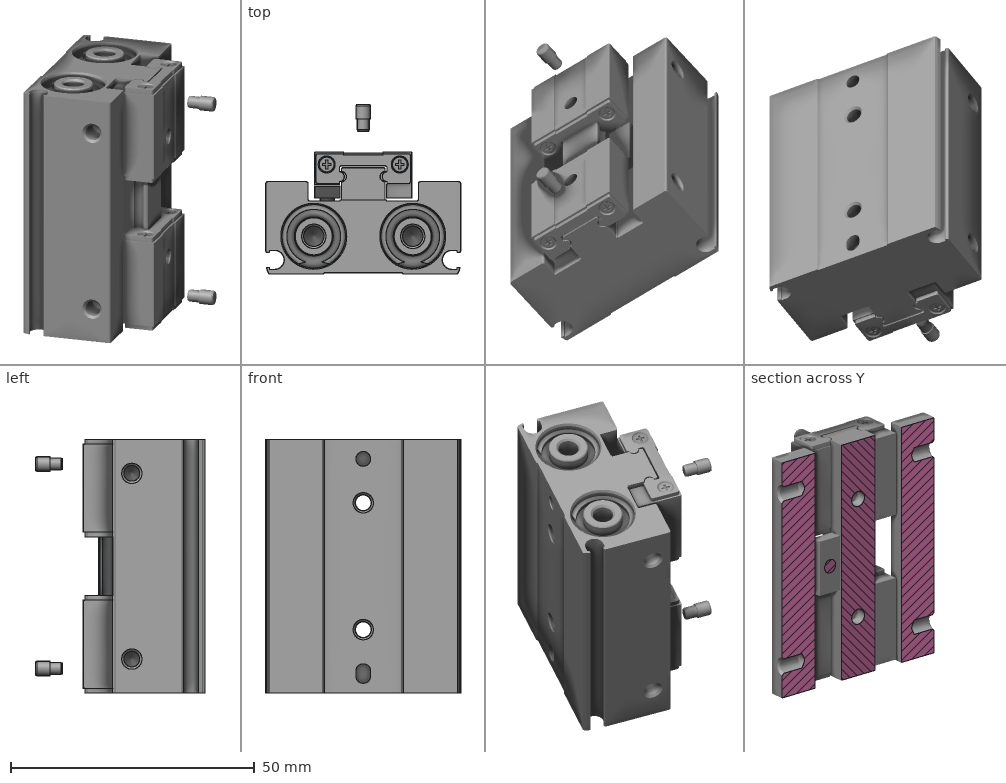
import cadquery as cq
import math

LENGTH = 52.0
HALF_LENGTH = LENGTH / 2

HALF_WIDTH = 19.995
HOUSING_TOP_Y = 19.0
GUIDE_GROOVE_HALF_WIDTH = 11.3
GUIDE_GROOVE_FLOOR_Y = 15.05
SEAT_HALF_WIDTH = 4.8
SEAT_Y = 15.25
SHOULDER_RADIUS = 0.45
GROOVE_CORNER_RADIUS = 0.25
FRONT_RECESS_HALF_WIDTH = 8.2
FRONT_RECESS_DEPTH = 0.25

SLOT_Y = 2.9
SLOT_RADIUS = 1.9
SLOT_CENTER_X = 18.15
SLOT_LIP_X = 19.2
SLOT_MOUTH = 3.0
FRONT_LIP_HALF_WIDTH = 19.85
FRONT_FACE_HALF_WIDTH = 19.35
FRONT_EDGE_X = 19.6
FRONT_EDGE_Y = 0.5
SLOT_EDGE_RADIUS = 0.35

ROD_X = 10.15
ROD_Y = 7.75
RECESS_DIAMETER = 13.0
RECESS_DEPTH = 2.5
RECESS_CHAMFER_WIDTH = 0.25
RECESS_CHAMFER_DEPTH = 0.5
RING_TOP_DEPTH = 1.5
RING_INNER_DIAMETER = 11.0
RING_GAP_INNER_HALF_WIDTH = 1.6
RING_GAP_INNER_DROP = 5.25
RING_GAP_OUTER_HALF_WIDTH = 3.3
RING_GAP_OUTER_DROP = 5.65
ROD_DIAMETER = 8.0
ROD_CHAMFER = 0.2
ROD_HOLE_DIAMETER = 4.15
ROD_HOLE_MOUTH = 5.0
ROD_HOLE_DEPTH = 7.8

DRILL_TIP_ANGLE = 118.0
MOUNT_HOLE_DIAMETER = 3.2
MOUNT_HOLE_MOUTH = 4.15
MOUNT_HOLE_Z = 13.0
SIDE_HOLE_Y = 15.05
SIDE_HOLE_Z = 19.05
SIDE_HOLE_DEPTH = 5.2
LOCATING_WIDTH = 3.0
LOCATING_SLOT_LENGTH = 4.0
LOCATING_Z = 22.0
LOCATING_DEPTH = 3.0

RAIL_HALF_WIDTH = 4.45
RAIL_TOP_Y = 21.85
RAIL_TOP_CHAMFER = 0.25
RAIL_NOTCH_HALF_WIDTH = 3.5
RAIL_NOTCH_Y = 19.95
RAIL_NOTCH_MOUTH = 2.1

GUIDE_GAP = 0.35
CARRIAGE_LENGTH = 20.0
CARRIAGE_CENTER_Z = HALF_LENGTH - CARRIAGE_LENGTH / 2
END_PLATE_THICKNESS = 1.0
BLOCK_HALF_WIDTH = 10.0
BLOCK_BOTTOM_Y = 18.35
LEG_INNER_X = 4.75
LEG_BOTTOM_Y = 15.55
BLOCK_TOP_Y = 25.05
BLOCK_EDGE_CHAMFER = 0.15
PLATE_HALF_WIDTH = 9.65
PLATE_BOTTOM_Y = 18.55
PLATE_TOP_Y = 24.65
PLATE_CORNER_RADIUS = 0.4
TOP_GROOVE_HALF_WIDTH = 4.0
TOP_GROOVE_DEPTH = 0.2
SCREW_X = 7.5
SCREW_Y = 22.45
SCREW_SINK_DIAMETER = 3.5
SCREW_HEAD_DIAMETER = 3.0
SCREW_SINK_DEPTH = 0.25
CROSS_LENGTH = 1.75
CROSS_WIDTH = 0.45
CROSS_DEPTH = 0.25

STOP_TOP_Y = 18.05
STOP_LENGTH = 11.95
STOP_FOOT_DIAMETER = 3.0

PIN_Z = 20.95
PIN_TOP_Y = 34.8
PIN_HEAD_RADIUS = 1.5
PIN_HEAD_LENGTH = 2.95
PIN_NECK_RADIUS = 1.25
PIN_LENGTH = 5.5
PIN_CHAMFER_WIDTH = 0.15
PIN_CHAMFER_LENGTH = 0.3


def mirrored_bar(half_outline, length):
    """A bar along Z, centred on Z = 0, from the right half of its symmetric section."""
    return cq.Workplane("XY").polyline(half_outline).mirrorY().extrude(length / 2, both=True)


def drill(diameter, mouth, depth):
    """A cutter along -Z from the origin: chamfered mouth, straight wall and conical tip."""
    radius = diameter / 2
    chamfer = (mouth - diameter) / 2
    tip = radius / math.tan(math.radians(DRILL_TIP_ANGLE / 2))
    section = [
        (0, 0),
        (mouth / 2, 0),
        (radius, -chamfer),
        (radius, -depth),
        (0, -depth - tip),
    ]
    return cq.Workplane("XZ").polyline(section).close().revolve(360, (0, 0), (0, 1))


def mount_holes():
    """The cross holes that run along Y through the housing, the rail and the carriages."""
    reach = BLOCK_TOP_Y + 0.5
    places = [(0, MOUNT_HOLE_Z), (0, -MOUNT_HOLE_Z)]
    return cq.Workplane("XZ").pushPoints(places).circle(MOUNT_HOLE_DIAMETER / 2).extrude(-reach)


def sensor_slots():
    """Round-bottomed slots along both sides, each with a narrower mouth."""
    center_span = HALF_WIDTH - SLOT_CENTER_X
    slots = cq.Workplane("XY")
    for side in (-1, 1):
        center = (side * SLOT_CENTER_X, SLOT_Y)
        round_end = cq.Workplane("XY").center(*center).circle(SLOT_RADIUS)
        slots = slots.add(round_end.extrude(HALF_LENGTH, both=True))
        straight = cq.Workplane("XY").center(side * (SLOT_CENTER_X + SLOT_LIP_X) / 2, SLOT_Y)
        straight = straight.rect(SLOT_LIP_X - SLOT_CENTER_X, 2 * SLOT_RADIUS)
        slots = slots.add(straight.extrude(HALF_LENGTH, both=True))
        mouth = cq.Workplane("XY").center(side * (SLOT_CENTER_X + center_span / 2), SLOT_Y)
        mouth = mouth.rect(center_span, SLOT_MOUTH)
        slots = slots.add(mouth.extrude(HALF_LENGTH, both=True))
    return slots.combine()


def housing_profile():
    """The plain extruded section of the housing, with its sensor slots."""
    wall_start_y = SLOT_Y + SLOT_MOUTH / 2
    half_outline = [
        (0, FRONT_RECESS_DEPTH),
        (FRONT_RECESS_HALF_WIDTH - FRONT_RECESS_DEPTH, FRONT_RECESS_DEPTH),
        (FRONT_RECESS_HALF_WIDTH, 0),
        (FRONT_FACE_HALF_WIDTH, 0),
        (FRONT_EDGE_X, FRONT_EDGE_Y),
        (FRONT_LIP_HALF_WIDTH, SLOT_Y - SLOT_MOUTH / 2),
        (FRONT_LIP_HALF_WIDTH, wall_start_y),
        (HALF_WIDTH, wall_start_y),
        (HALF_WIDTH, HOUSING_TOP_Y),
        (GUIDE_GROOVE_HALF_WIDTH, HOUSING_TOP_Y),
        (GUIDE_GROOVE_HALF_WIDTH, GUIDE_GROOVE_FLOOR_Y),
        (SEAT_HALF_WIDTH, GUIDE_GROOVE_FLOOR_Y),
        (SEAT_HALF_WIDTH, SEAT_Y),
        (0, SEAT_Y),
    ]
    profile = mirrored_bar(half_outline, LENGTH)
    shoulders = cq.selectors.BoxSelector(
        (-HALF_WIDTH - 0.5, HOUSING_TOP_Y - 0.5, -0.5), (HALF_WIDTH + 0.5, HOUSING_TOP_Y + 0.5, 0.5)
    )
    profile = profile.edges("|Z").edges(shoulders).fillet(SHOULDER_RADIUS)
    for side in (-1, 1):
        corner = cq.selectors.NearestToPointSelector(
            (side * GUIDE_GROOVE_HALF_WIDTH, GUIDE_GROOVE_FLOOR_Y, 0)
        )
        profile = profile.edges("|Z").edges(corner).fillet(GROOVE_CORNER_RADIUS)

    profile = profile.cut(sensor_slots())
    for side in (-1, 1):
        slot_edge = cq.selectors.NearestToPointSelector((side * HALF_WIDTH, wall_start_y, 0))
        profile = profile.edges("|Z").edges(slot_edge).fillet(SLOT_EDGE_RADIUS)
    return profile


def rod_recess():
    """Cutter for one rod recess, its axis on Z and its mouth at Z = 0."""
    radius = RECESS_DIAMETER / 2
    mouth_radius = radius + RECESS_CHAMFER_WIDTH
    section = [
        (0, 0),
        (mouth_radius, 0),
        (radius, -RECESS_CHAMFER_DEPTH),
        (radius, -RECESS_DEPTH),
        (0, -RECESS_DEPTH),
    ]
    pocket = cq.Workplane("XZ").polyline(section).close().revolve(360, (0, 0), (0, 1))
    rod = cq.Workplane("XY").circle(ROD_DIAMETER / 2).extrude(-RECESS_DEPTH)
    rod = rod.faces(">Z").chamfer(ROD_CHAMFER)
    return pocket.cut(rod).cut(retaining_ring())


def retaining_ring():
    """The open ring ledge on the recess floor, its gap toward -Y."""
    ring = cq.Workplane("XY").workplane(offset=-RECESS_DEPTH)
    ring = ring.circle(RECESS_DIAMETER / 2).circle(RING_INNER_DIAMETER / 2)
    ring = ring.extrude(RECESS_DEPTH - RING_TOP_DEPTH)
    gap_outline = [
        (-RING_GAP_INNER_HALF_WIDTH, -RING_GAP_INNER_DROP),
        (-RING_GAP_OUTER_HALF_WIDTH, -RING_GAP_OUTER_DROP),
        (-RING_GAP_OUTER_HALF_WIDTH, -RECESS_DIAMETER),
        (RING_GAP_OUTER_HALF_WIDTH, -RECESS_DIAMETER),
        (RING_GAP_OUTER_HALF_WIDTH, -RING_GAP_OUTER_DROP),
        (RING_GAP_INNER_HALF_WIDTH, -RING_GAP_INNER_DROP),
    ]
    gap = cq.Workplane("XY").polyline(gap_outline).close().extrude(-RECESS_DEPTH)
    return ring.cut(gap)


def make_housing():
    housing = housing_profile()

    rod_hole = drill(ROD_HOLE_DIAMETER, ROD_HOLE_MOUTH, ROD_HOLE_DEPTH)
    for x in (-ROD_X, ROD_X):
        place = (x, ROD_Y, HALF_LENGTH)
        housing = housing.cut(rod_recess().translate(place))
        housing = housing.cut(rod_hole.translate(place))

    side_drill = drill(MOUNT_HOLE_DIAMETER, MOUNT_HOLE_MOUTH, SIDE_HOLE_DEPTH)
    for side in (-1, 1):
        sideways = side_drill.rotate((0, 0, 0), (0, 1, 0), side * 90)
        for z in (-SIDE_HOLE_Z, SIDE_HOLE_Z):
            housing = housing.cut(sideways.translate((side * HALF_WIDTH, SIDE_HOLE_Y, z)))

    housing = housing.cut(mount_holes())
    countersink_depth = (MOUNT_HOLE_MOUTH - MOUNT_HOLE_DIAMETER) / 2
    for z in (-MOUNT_HOLE_Z, MOUNT_HOLE_Z):
        countersink = cq.Solid.makeCone(
            MOUNT_HOLE_MOUTH / 2,
            MOUNT_HOLE_DIAMETER / 2,
            countersink_depth,
            cq.Vector(0, FRONT_RECESS_DEPTH, z),
            cq.Vector(0, 1, 0),
        )
        housing = housing.cut(cq.Workplane(countersink))

    front = cq.Workplane("XZ")
    locating_reach = FRONT_RECESS_DEPTH + LOCATING_DEPTH
    hole = front.center(0, LOCATING_Z).circle(LOCATING_WIDTH / 2).extrude(-locating_reach)
    slot = front.center(0, -LOCATING_Z).slot2D(LOCATING_SLOT_LENGTH, LOCATING_WIDTH, 90)
    return housing.cut(hole).cut(slot.extrude(-locating_reach))


def guide_bar(gap, length):
    """A bar with the rail section, grown by a gap, from the seat to the top of the rail."""
    half_width = RAIL_HALF_WIDTH + gap
    top_y = RAIL_TOP_Y + gap
    lower_y = RAIL_NOTCH_Y - RAIL_NOTCH_MOUTH / 2
    upper_y = RAIL_NOTCH_Y + RAIL_NOTCH_MOUTH / 2
    outline = cq.Workplane("XY").moveTo(0, SEAT_Y).lineTo(half_width, SEAT_Y)
    outline = outline.lineTo(half_width, lower_y)
    outline = outline.threePointArc((RAIL_NOTCH_HALF_WIDTH + gap, RAIL_NOTCH_Y), (half_width, upper_y))
    outline = outline.lineTo(half_width, top_y - RAIL_TOP_CHAMFER)
    outline = outline.lineTo(half_width - RAIL_TOP_CHAMFER, top_y).lineTo(0, top_y)
    return outline.mirrorY().extrude(length / 2, both=True)


def make_rail():
    return guide_bar(0, LENGTH).cut(mount_holes())


def screw_recess():
    """Cutter for a sunken screw head with a cross drive, its mouth at Z = 0."""
    mouth = cq.Workplane("XY").circle(SCREW_SINK_DIAMETER / 2)
    sink = mouth.workplane(offset=-SCREW_SINK_DEPTH).circle(SCREW_HEAD_DIAMETER / 2).loft()
    head_face = cq.Workplane("XY").workplane(offset=-SCREW_SINK_DEPTH)
    for size in ((CROSS_LENGTH, CROSS_WIDTH), (CROSS_WIDTH, CROSS_LENGTH)):
        sink = sink.union(head_face.rect(*size).extrude(-CROSS_DEPTH))
    return sink


def saddle(half_width, bottom_y, top_y, length):
    """A rectangular bar with a shallow groove along the middle of its top."""
    half_outline = [
        (0, bottom_y),
        (half_width, bottom_y),
        (half_width, top_y),
        (TOP_GROOVE_HALF_WIDTH, top_y),
        (TOP_GROOVE_HALF_WIDTH, top_y - TOP_GROOVE_DEPTH),
        (0, top_y - TOP_GROOVE_DEPTH),
    ]
    return mirrored_bar(half_outline, length)


def make_carriage(center_z):
    """A guide block with an end plate at each end and a leg on its +X side, astride the rail."""
    block_length = CARRIAGE_LENGTH - 2 * END_PLATE_THICKNESS
    block = saddle(BLOCK_HALF_WIDTH, BLOCK_BOTTOM_Y, BLOCK_TOP_Y, block_length)
    for side in ("<X", ">X"):
        block = block.faces(side).edges("|Z and >Y").chamfer(BLOCK_EDGE_CHAMFER)

    plates = saddle(PLATE_HALF_WIDTH, PLATE_BOTTOM_Y, PLATE_TOP_Y, CARRIAGE_LENGTH)
    plates = plates.edges("|Z and (<X or >X)").fillet(PLATE_CORNER_RADIUS)
    carriage = block.union(plates)

    for x in (-SCREW_X, SCREW_X):
        recess = screw_recess().translate((x, SCREW_Y, CARRIAGE_LENGTH / 2))
        carriage = carriage.cut(recess).cut(recess.mirror("XY"))

    carriage = carriage.cut(guide_bar(GUIDE_GAP, CARRIAGE_LENGTH))

    leg = cq.Workplane("XY").moveTo(LEG_INNER_X, LEG_BOTTOM_Y).lineTo(BLOCK_HALF_WIDTH, LEG_BOTTOM_Y)
    leg = leg.lineTo(BLOCK_HALF_WIDTH, BLOCK_BOTTOM_Y).lineTo(LEG_INNER_X, BLOCK_BOTTOM_Y).close()
    carriage = carriage.union(leg.extrude(block_length / 2, both=True))
    return carriage.translate((0, 0, center_z)).cut(mount_holes())


def make_stop_block():
    """A bar in the -X side of the guide groove, carried by a round foot on the groove floor."""
    width = BLOCK_HALF_WIDTH - LEG_INNER_X
    height = STOP_TOP_Y - LEG_BOTTOM_Y
    bar = cq.Workplane("XY").box(width, height, STOP_LENGTH)
    center_x = -(BLOCK_HALF_WIDTH + LEG_INNER_X) / 2
    bar = bar.translate((center_x, (STOP_TOP_Y + LEG_BOTTOM_Y) / 2, 0))
    foot = cq.Workplane("XZ", origin=(center_x, GUIDE_GROOVE_FLOOR_Y, 0))
    foot = foot.circle(STOP_FOOT_DIAMETER / 2).extrude(GUIDE_GROOVE_FLOOR_Y - STOP_TOP_Y)
    return bar.union(foot)


def make_pin(z):
    """A stepped pin along Y with its wide end toward +Y."""
    tip_y = PIN_TOP_Y - PIN_LENGTH
    shoulder_y = PIN_TOP_Y - PIN_HEAD_LENGTH
    section = [
        (0, tip_y),
        (PIN_NECK_RADIUS - PIN_CHAMFER_WIDTH, tip_y),
        (PIN_NECK_RADIUS, tip_y + PIN_CHAMFER_LENGTH),
        (PIN_NECK_RADIUS, shoulder_y),
        (PIN_HEAD_RADIUS, shoulder_y),
        (PIN_HEAD_RADIUS, PIN_TOP_Y - PIN_CHAMFER_LENGTH),
        (PIN_HEAD_RADIUS - PIN_CHAMFER_WIDTH, PIN_TOP_Y),
        (0, PIN_TOP_Y),
    ]
    pin = cq.Workplane("XY").polyline(section).close().revolve(360, (0, 0), (0, 1))
    return pin.translate((0, 0, z))


housing = make_housing()
rail = make_rail()
carriages = [make_carriage(z) for z in (-CARRIAGE_CENTER_Z, CARRIAGE_CENTER_Z)]
stop_block = make_stop_block()
pins = [make_pin(z) for z in (-PIN_Z, PIN_Z)]

result = cq.Compound.makeCompound(
    [
        housing.val(),
        rail.val(),
        *[carriage.val() for carriage in carriages],
        stop_block.val(),
        *[pin.val() for pin in pins],
    ]
)